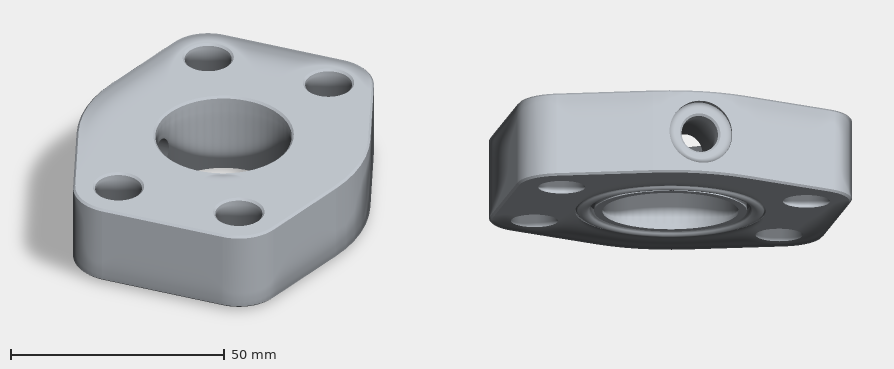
import cadquery as cq
import math

length = 80.0
belly_radius = 34.5
corner_radius = 10.6
thickness = 20.0
edge_chamfer = 0.5

bore_diameter = 32.0
bolt_diameter = 11.0
bolt_x = 15.1
bolt_y = length / 2 - corner_radius
hole_chamfer = 0.5

port_diameter = 8.7
port_chamfer = 0.5
spotface_diameter = 15.0
spotface_depth = 1.5

groove_inner_diameter = 35.8
groove_outer_diameter = 44.7
ring_section_diameter = 3.5
ring_protrusion = 0.6
groove_depth = ring_section_diameter - ring_protrusion

flank_angle = math.atan2(bolt_y, bolt_x) - math.acos(
    (belly_radius - corner_radius) / math.hypot(bolt_x, bolt_y)
)


def make_plate():
    """Elongated plate: two belly arcs, four flanks and four rounded corners."""
    belly_x = belly_radius * math.cos(flank_angle)
    belly_y = belly_radius * math.sin(flank_angle)
    flank_x = bolt_x + corner_radius * math.cos(flank_angle)
    flank_y = bolt_y + corner_radius * math.sin(flank_angle)
    corner_angle = (flank_angle + math.pi / 2) / 2
    corner_x = bolt_x + corner_radius * math.cos(corner_angle)
    corner_y = bolt_y + corner_radius * math.sin(corner_angle)
    end_y = length / 2
    return (
        cq.Workplane("XY")
        .moveTo(belly_x, -belly_y)
        .threePointArc((belly_radius, 0), (belly_x, belly_y))
        .lineTo(flank_x, flank_y)
        .threePointArc((corner_x, corner_y), (bolt_x, end_y))
        .lineTo(-bolt_x, end_y)
        .threePointArc((-corner_x, corner_y), (-flank_x, flank_y))
        .lineTo(-belly_x, belly_y)
        .threePointArc((-belly_radius, 0), (-belly_x, -belly_y))
        .lineTo(-flank_x, -flank_y)
        .threePointArc((-corner_x, -corner_y), (-bolt_x, -end_y))
        .lineTo(bolt_x, -end_y)
        .threePointArc((corner_x, -corner_y), (flank_x, -flank_y))
        .close()
        .extrude(thickness)
        .faces("<Z or >Z")
        .chamfer(edge_chamfer)
    )


def make_through_hole(diameter, x, y):
    """Cutter for a vertical through hole with a chamfered top mouth."""
    radius = diameter / 2
    return (
        cq.Workplane("XZ")
        .moveTo(0, 0)
        .lineTo(radius, 0)
        .lineTo(radius, thickness - hole_chamfer)
        .lineTo(radius + hole_chamfer, thickness)
        .lineTo(0, thickness)
        .close()
        .revolve(360, (0, 0), (0, 1))
        .translate((x, y, 0))
    )


def make_side_port():
    """Cutter for the spotface and the chamfered port along X, ending in the bore."""
    seat_x = -belly_radius + spotface_depth
    port_radius = port_diameter / 2
    mouth_radius = port_radius + port_chamfer
    spotface_radius = spotface_diameter / 2
    return (
        cq.Workplane("XY")
        .moveTo(-belly_radius, 0)
        .lineTo(-belly_radius, spotface_radius)
        .lineTo(seat_x, spotface_radius)
        .lineTo(seat_x, mouth_radius)
        .lineTo(seat_x + port_chamfer, port_radius)
        .lineTo(0, port_radius)
        .lineTo(0, 0)
        .close()
        .revolve(360, (0, 0), (1, 0))
        .translate((0, 0, thickness / 2))
    )


def make_groove():
    """Cutter for the rectangular seal groove in the bottom face."""
    return (
        cq.Workplane("XY")
        .circle(groove_outer_diameter / 2)
        .circle(groove_inner_diameter / 2)
        .extrude(groove_depth)
    )


def make_flange():
    """Plate with its bore, bolt holes, side port and seal groove."""
    flange = make_plate().cut(make_through_hole(bore_diameter, 0, 0))
    for x in (-bolt_x, bolt_x):
        for y in (-bolt_y, bolt_y):
            flange = flange.cut(make_through_hole(bolt_diameter, x, y))
    return flange.cut(make_side_port()).cut(make_groove())


def make_seal_ring():
    """Round-section ring resting on the groove floor and against its outer wall."""
    section_radius = ring_section_diameter / 2
    center_radius = groove_outer_diameter / 2 - section_radius
    center_z = section_radius - ring_protrusion
    return (
        cq.Workplane("XZ")
        .center(center_radius, center_z)
        .circle(section_radius)
        .revolve(360, (-center_radius, 0), (-center_radius, 1))
    )


flange = make_flange()
seal_ring = make_seal_ring()

result = cq.Compound.makeCompound([flange.val(), seal_ring.val()])